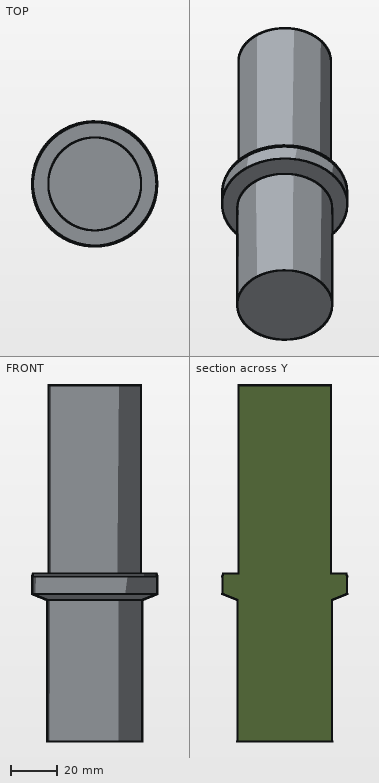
import cadquery as cq

total_length = 153.5
upper_diameter = 40.0
lower_diameter = 41.0
collar_diameter = 54.0

lower_length = 61.0
collar_cone_height = 2.6
collar_height = 11.5
collar_chamfer_height = 1.4
collar_chamfer_width = 0.5

upper_radius = upper_diameter / 2
lower_radius = lower_diameter / 2
collar_radius = collar_diameter / 2
bottom_z = -total_length / 2
top_z = total_length / 2
collar_bottom_z = bottom_z + lower_length
collar_top_z = collar_bottom_z + collar_height

half_section = (
    cq.Workplane("XZ")
    .moveTo(0, bottom_z)
    .lineTo(lower_radius, bottom_z)
    .lineTo(lower_radius, collar_bottom_z)
    .lineTo(collar_radius, collar_bottom_z + collar_cone_height)
    .lineTo(collar_radius, collar_top_z - collar_chamfer_height)
    .lineTo(collar_radius - collar_chamfer_width, collar_top_z)
    .lineTo(upper_radius, collar_top_z)
    .lineTo(upper_radius, top_z)
    .lineTo(0, top_z)
    .close()
)

result = half_section.revolve(360, (0, 0, 0), (0, 1, 0))